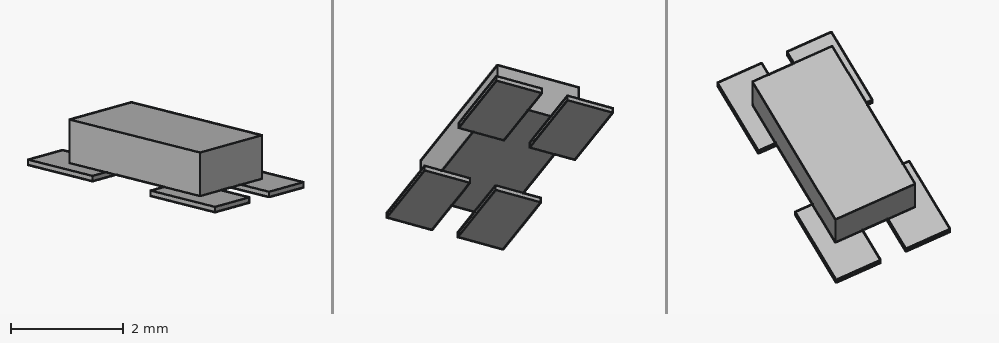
import cadquery as cq

footprint_length = 4.58
footprint_width = 2.28

pad_length = 1.58
pad_width = 0.89
pad_thickness = 0.1

housing_length = 3.2
housing_width = 1.6
housing_height = 0.8

pad_center_x = (footprint_length - pad_length) / 2
pad_center_y = (footprint_width - pad_width) / 2


def make_housing():
    """Plain block whose underside lies on the top faces of the pads."""
    return (
        cq.Workplane("XY")
        .workplane(offset=pad_thickness)
        .box(housing_length, housing_width, housing_height, centered=(True, True, False))
    )


def make_pad(center_x, center_y):
    """Flat contact pad with its underside at Z = 0."""
    return (
        cq.Workplane("XY")
        .center(center_x, center_y)
        .box(pad_length, pad_width, pad_thickness, centered=(True, True, False))
    )


housing = make_housing()

pads = []
for side_x in (-1, 1):
    for side_y in (-1, 1):
        pads.append(make_pad(side_x * pad_center_x, side_y * pad_center_y))

result = cq.Compound.makeCompound([housing.val(), *[pad.val() for pad in pads]])